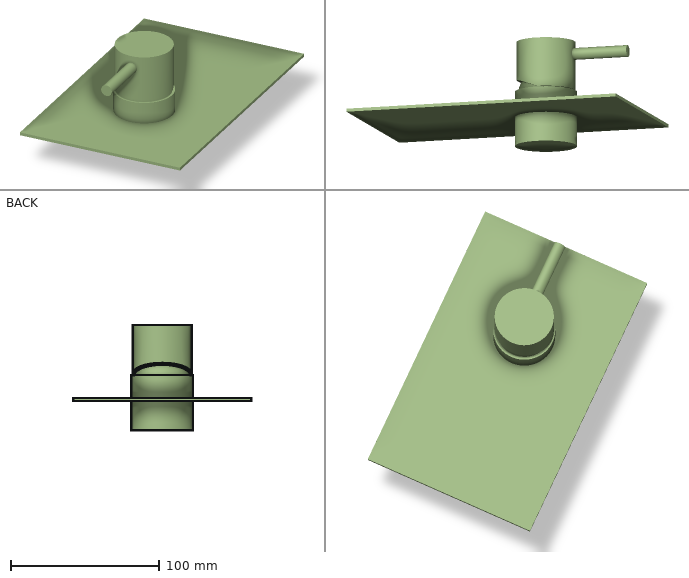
import cadquery as cq

plate_width = 120.0
plate_length = 190.0
plate_thickness = 2.0
plate_bottom = 19.8

axis_y = -27.2

sleeve_radius = 20.9
sleeve_height = 37.2

dome_radius = 19.2
dome_center_drop = 3.2
dome_center_z = sleeve_height - dome_center_drop

total_height = 71.0
cap_radius = 20.0
cap_gap = 0.5
cap_bottom = sleeve_height + cap_gap
cap_height = total_height - cap_bottom
bevel_rise = 7.8
lever_radius = 4.0
lever_z = 62.1
lever_reach = 57.8


def cylinder(radius, bottom, height):
    """Upright cylinder on the common axis."""
    return cq.Workplane("XY", origin=(0, axis_y, bottom)).circle(radius).extrude(height)


def make_dome_sphere():
    return cq.Workplane("XY", origin=(0, axis_y, dome_center_z)).sphere(dome_radius)


def make_plate():
    plate = (
        cq.Workplane("XY", origin=(0, 0, plate_bottom))
        .rect(plate_width, plate_length)
        .extrude(plate_thickness)
    )
    return plate.cut(cylinder(sleeve_radius, plate_bottom, plate_thickness))


def make_sleeve():
    return cylinder(sleeve_radius, 0, sleeve_height)


def make_dome():
    above_sleeve = cylinder(sleeve_radius, sleeve_height, dome_radius)
    return make_dome_sphere().intersect(above_sleeve)


def make_bevel_cutter():
    """Wedge under the back half of the cap, rising from its axis to its rear edge."""
    return (
        cq.Workplane("YZ", origin=(0, axis_y, cap_bottom))
        .polyline([(0, 0), (cap_radius, 0), (cap_radius, bevel_rise)])
        .close()
        .extrude(cap_radius, both=True)
    )


def make_handle():
    """Cap with its lever, hollowed to fit over the dome."""
    cap = cylinder(cap_radius, cap_bottom, cap_height)
    lever = (
        cq.Workplane("XZ", origin=(0, axis_y, lever_z))
        .circle(lever_radius)
        .extrude(lever_reach)
    )
    return cap.union(lever).cut(make_bevel_cutter()).cut(make_dome_sphere())


plate = make_plate()
sleeve = make_sleeve()
dome = make_dome()
handle = make_handle()

result = cq.Compound.makeCompound([plate.val(), sleeve.val(), dome.val(), *handle.solids().vals()])